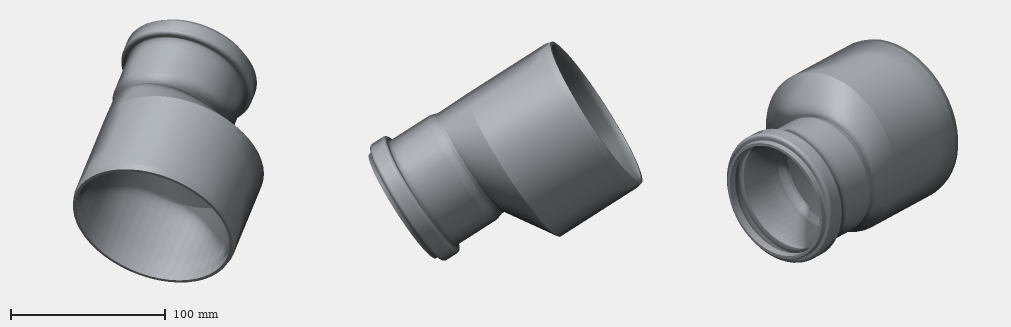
import cadquery as cq

total_length = 139.0

spigot_outer_d = 110.4
spigot_inner_d = 104.2
spigot_length = 63.2
spigot_chamfer_length = 3.9
spigot_chamfer_depth = 1.0

neck_outer_d = 77.0
neck_inner_d = 71.0
neck_start = 84.5
neck_end = 86.7

axis_offset = (spigot_outer_d - neck_outer_d) / 2

socket_outer_d = 80.2
socket_inner_d = 76.2
socket_start = 92.0
bead_outer_d = 89.2
bead_inner_d = 85.2
bead_start = 123.2
bead_end = 135.7
bead_round = 2.2
bead_foot_round = 0.8
lip_outer_d = 79.9
lip_length = 1.0

bead_wall = (bead_outer_d - bead_inner_d) / 2
groove_start = bead_start + bead_wall
groove_end = bead_end - bead_wall


def spigot_and_transition(diameter, neck_diameter):
    """Straight cylinder followed by a ruled eccentric cone to the neck."""
    cylinder = cq.Workplane("XZ").circle(diameter / 2).extrude(-spigot_length)
    cone = (
        cq.Workplane("XZ", origin=(0, spigot_length, 0))
        .circle(diameter / 2)
        .workplane(offset=spigot_length - neck_start)
        .center(-axis_offset, 0)
        .circle(neck_diameter / 2)
        .loft(ruled=True)
    )
    return cylinder.union(cone)


def revolve_about_socket_axis(profile):
    """Revolve (radius, Y) points around the socket axis."""
    return (
        cq.Workplane("XY", origin=(-axis_offset, 0, 0))
        .polyline(profile)
        .close()
        .revolve(360, (0, 0, 0), (0, 1, 0))
    )


def round_circles(body, diameter, positions, radius):
    """Fillet the socket-axis circles of one diameter at the given Y positions."""
    margin = 0.01
    half = diameter / 2 + margin
    for y in positions:
        selector = cq.selectors.BoxSelector(
            (-axis_offset - half, y - margin, -half),
            (-axis_offset + half, y + margin, half),
            boundingbox=True,
        )
        body = body.edges(selector).fillet(radius)
    return body


def socket_outside():
    body = revolve_about_socket_axis([
        (0, neck_start),
        (neck_outer_d / 2, neck_start),
        (neck_outer_d / 2, neck_end),
        (socket_outer_d / 2, socket_start),
        (socket_outer_d / 2, bead_start),
        (bead_outer_d / 2, bead_start),
        (bead_outer_d / 2, bead_end),
        (socket_outer_d / 2, bead_end),
        (socket_outer_d / 2, total_length - lip_length),
        (lip_outer_d / 2, total_length),
        (0, total_length),
    ])
    bead_sides = (bead_start, bead_end)
    body = round_circles(body, socket_outer_d, bead_sides, bead_foot_round)
    return round_circles(body, bead_outer_d, bead_sides, bead_round)


def socket_bore():
    return revolve_about_socket_axis([
        (0, neck_start),
        (neck_inner_d / 2, neck_start),
        (neck_inner_d / 2, neck_end),
        (socket_inner_d / 2, socket_start),
        (socket_inner_d / 2, groove_start),
        (bead_inner_d / 2, groove_start),
        (bead_inner_d / 2, groove_end),
        (socket_inner_d / 2, groove_end),
        (socket_inner_d / 2, total_length),
        (0, total_length),
    ])


spigot_outside = (
    spigot_and_transition(spigot_outer_d, neck_outer_d)
    .faces("<Y")
    .edges()
    .chamfer(spigot_chamfer_length, spigot_chamfer_depth)
)

outside = spigot_outside.union(socket_outside())
bore = spigot_and_transition(spigot_inner_d, neck_inner_d).union(socket_bore())

result = outside.cut(bore)